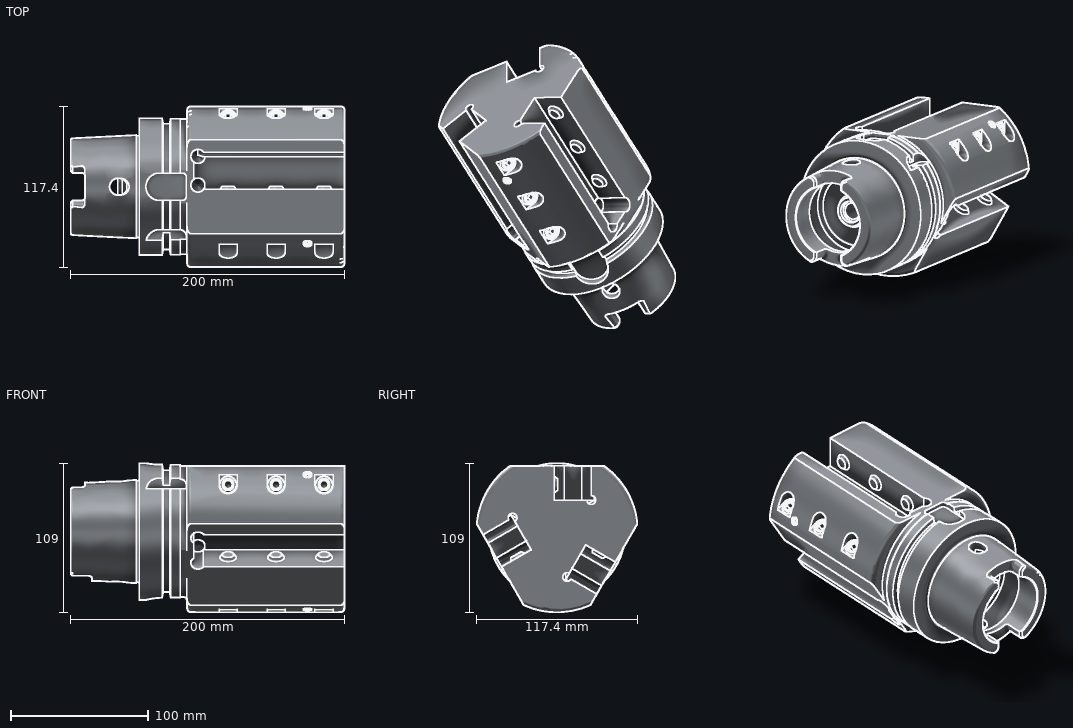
import cadquery as cq
import math


SHANK_END_X = -50.0
FLANGE_END_X = 30.0
BODY_START_X = 35.0
BODY_END_X = 150.0

TAPER_LARGE_RADIUS = 37.75
TAPER_SLOPE = 0.05
TAPER_END_X = -2.2
SHANK_END_FILLET = 1.8

RELIEF_RADIUS = 37.2
RELIEF_START_X = -1.6
RELIEF_FILLET = 0.8
FACE_RELIEF_RADIUS = 39.4
FACE_RELIEF_DEPTH = 0.3

BORE_RADIUS = 26.5
BORE_CHAMFER = 0.5
BORE_SHOULDER_X = -29.7
CLAMP_RADIUS = 31.0
CLAMP_SHOULDER_ANGLE = 60.0
CLAMP_END_X = -9.0
BORE_FLOOR_FILLET = 1.2
BORE_FLOOR_X = -7.5
NUT_RADIUS = 12.0
NUT_END_RADIUS = 10.6
NUT_CONE_LENGTH = 3.4
NUT_END_X = -15.6
NUT_RECESS_RADIUS = 8.0
NUT_RECESS_FLOOR_RADIUS = 7.65
NUT_RECESS_DEPTH = 3.0
COOLANT_RADIUS = 6.0
COOLANT_END_X = 10.0
DRILL_POINT_ANGLE = 118.0

SLOT_HALF_WIDTH = 10.0
SLOT_DEPTHS = {1: 10.5, -1: 15.5}
SLOT_FLARE_START_Z = 27.4
SLOT_FLARE_RADIUS = 5.0
SLOT_FLOOR_FILLET = 2.2
SLOT_MOUTH_CHAMFER = 1.5

ACCESS_RADIUS = 6.1
ACCESS_X = -15.3
ACCESS_TILTED_X = -13.5
ACCESS_TILT = 10.0

FLANGE_RADIUS = 50.0
GROOVE_RADIUS = 46.0
GROOVE_X = 19.95
GROOVE_FLOOR_WIDTH = 4.6
GROOVE_MOUTH_WIDTH = 6.2
FLANGE_BACK_RADIUS = 49.8
NECK_RADIUS = 49.5

RECESS_START_X = 5.0
RECESS_END_X = 34.5
RECESS_CORNER_RADIUS = 3.0
RECESS_FLOOR = 44.0
TOP_RECESS_WIDTH = 20.0
BOTTOM_RECESS_WIDTH = 25.0
NOTCH_OFFSET = 31.3
NOTCH_WIDTH = 20.0
NOTCH_CORNER_RADIUS = 5.0
ROUND_END_LAND = 0.01

BODY_RADIUS = 59.0
BODY_FILLET = 3.0
FLAT_DISTANCE = 48.0
SIDE_ANGLES = (0, 120, 240)

POCKET_START_X = 40.0
POCKET_FLOOR = 23.0
POCKET_SCREW_WALL = -2.0
POCKET_FAR_WALL = 25.0
CORNER_RELIEF_RADIUS = 3.15
CORNER_HOLE_RADIUS = 5.15
CORNER_HOLE_X = 43.0
CORNER_HOLES_Y = (1.2, 22.1)

SCREW_XS = (65.0, 100.0, 135.0)
SCREW_RADIUS = 6.0
SCREW_HEIGHT = 34.3
SCREW_TIP_RADIUS = 4.25
SCREW_TIP_LENGTH = 2.4
SCREW_HEAD_RADIUS = 4.3
SCREW_HEAD_CHAMFER = 1.7
SCREW_SOCKET = 6.93
SCREW_SOCKET_DEPTH = 6.0
SEAT_RADIUS = 6.6
SEAT_Y = -42.1

PLUG_X = 123.0
PLUG_ANGLE = 45.0
PLUG_RADIUS = 3.0
PLUG_INNER_RADIUS = 2.6
PLUG_RECESS_DEPTH = 1.0
PLUG_SOCKET = 3.46
PLUG_SOCKET_DEPTH = 2.5

CLEARANCE = 20.0


def box_between(x_range, y_range, z_range):
    sizes = [high - low for low, high in (x_range, y_range, z_range)]
    return cq.Workplane("XY").box(*sizes, centered=False).translate((x_range[0], y_range[0], z_range[0]))


def about_axis(shape, angle):
    return shape.rotate((0, 0, 0), (1, 0, 0), angle)


def revolved(points):
    """Turn an (x, radius) outline about the X axis."""
    return cq.Workplane("XY").polyline(points).close().revolve(360, (0, 0, 0), (1, 0, 0))


def drill_point_length(radius):
    return radius / math.tan(math.radians(DRILL_POINT_ANGLE / 2))


def cone(base_radius, tip_radius, length, base, direction):
    return cq.Workplane(obj=cq.Solid.makeCone(base_radius, tip_radius, length, cq.Vector(*base),
                                              cq.Vector(*direction)))


def taper_radius(x):
    return TAPER_LARGE_RADIUS + TAPER_SLOPE * (x - TAPER_END_X)


def make_shank():
    """Tapered shank with its drive slots, its outer rim and the mouths of the slots eased."""
    shank = revolved([
        (SHANK_END_X, 0),
        (SHANK_END_X, taper_radius(SHANK_END_X)),
        (TAPER_END_X, TAPER_LARGE_RADIUS),
        (RELIEF_START_X, RELIEF_RADIUS),
        (FACE_RELIEF_DEPTH, RELIEF_RADIUS),
        (FACE_RELIEF_DEPTH, 0),
    ]).faces("<X").edges().fillet(SHANK_END_FILLET)
    for side, depth in SLOT_DEPTHS.items():
        shank = shank.cut(make_drive_slot(side, depth))
    return shank


def make_flange():
    """Flange with its gripper groove, and the neck behind it."""
    half_floor = GROOVE_FLOOR_WIDTH / 2
    half_mouth = GROOVE_MOUTH_WIDTH / 2
    fillet_start_x = FACE_RELIEF_DEPTH - RELIEF_FILLET
    fillet_inset = RELIEF_FILLET * (1 - math.sqrt(0.5))
    return (
        cq.Workplane("XY")
        .moveTo(fillet_start_x, 0)
        .lineTo(fillet_start_x, RELIEF_RADIUS)
        .threePointArc(
            (FACE_RELIEF_DEPTH - fillet_inset, RELIEF_RADIUS + fillet_inset),
            (FACE_RELIEF_DEPTH, RELIEF_RADIUS + RELIEF_FILLET),
        )
        .lineTo(0, FACE_RELIEF_RADIUS)
        .lineTo(0, FLANGE_RADIUS)
        .lineTo(GROOVE_X - half_mouth, FLANGE_RADIUS)
        .lineTo(GROOVE_X - half_floor, GROOVE_RADIUS)
        .lineTo(GROOVE_X + half_floor, GROOVE_RADIUS)
        .lineTo(GROOVE_X + half_mouth, FLANGE_BACK_RADIUS)
        .lineTo(FLANGE_END_X, FLANGE_BACK_RADIUS)
        .lineTo(FLANGE_END_X, NECK_RADIUS)
        .lineTo(BODY_START_X, NECK_RADIUS)
        .lineTo(BODY_START_X, 0)
        .close()
        .revolve(360, (0, 0, 0), (1, 0, 0))
    )


def make_bore():
    """Shank bore, undercut for the clamping claws, around the coolant nut, with the blind coolant hole in the nut."""
    shoulder_length = (CLAMP_RADIUS - BORE_RADIUS) / math.tan(math.radians(CLAMP_SHOULDER_ANGLE))
    bore = revolved([
        (SHANK_END_X, 0),
        (SHANK_END_X, BORE_RADIUS + BORE_CHAMFER),
        (SHANK_END_X + BORE_CHAMFER, BORE_RADIUS),
        (BORE_SHOULDER_X, BORE_RADIUS),
        (BORE_SHOULDER_X + shoulder_length, CLAMP_RADIUS),
        (CLAMP_END_X, CLAMP_RADIUS),
        (CLAMP_END_X, BORE_RADIUS),
        (BORE_FLOOR_X, BORE_RADIUS),
        (BORE_FLOOR_X, 0),
    ]).faces(">X").edges().fillet(BORE_FLOOR_FILLET)
    nut_recess_floor_x = NUT_END_X + NUT_RECESS_DEPTH
    nut = revolved([
        (BORE_FLOOR_X, 0),
        (BORE_FLOOR_X, NUT_RADIUS),
        (NUT_END_X + NUT_CONE_LENGTH, NUT_RADIUS),
        (NUT_END_X, NUT_END_RADIUS),
        (NUT_END_X, 0),
    ])
    coolant_hole = revolved([
        (NUT_END_X, 0),
        (NUT_END_X, NUT_RECESS_RADIUS),
        (nut_recess_floor_x, NUT_RECESS_FLOOR_RADIUS),
        (nut_recess_floor_x, COOLANT_RADIUS),
        (COOLANT_END_X, COOLANT_RADIUS),
        (COOLANT_END_X + drill_point_length(COOLANT_RADIUS), 0),
    ])
    return bore.cut(nut).union(coolant_hole)


def slot_section(widening):
    """Slot outline flaring outward along two convex arcs, widened evenly by the given amount."""
    half_width = SLOT_HALF_WIDTH + widening
    arc_radius = SLOT_FLARE_RADIUS - widening
    flare_y = SLOT_HALF_WIDTH + SLOT_FLARE_RADIUS
    flare_z = SLOT_FLARE_START_Z + arc_radius
    top_z = flare_z + CLEARANCE
    arc_y = flare_y - arc_radius * math.sqrt(0.5)
    arc_z = SLOT_FLARE_START_Z + arc_radius * math.sqrt(0.5)
    outer_y = flare_y + CLEARANCE
    return (
        cq.Workplane("YZ", origin=(SHANK_END_X, 0, 0))
        .moveTo(-half_width, 0)
        .lineTo(-half_width, SLOT_FLARE_START_Z)
        .threePointArc((-arc_y, arc_z), (-flare_y, flare_z))
        .lineTo(-outer_y, flare_z)
        .lineTo(-outer_y, top_z)
        .lineTo(outer_y, top_z)
        .lineTo(outer_y, flare_z)
        .lineTo(flare_y, flare_z)
        .threePointArc((arc_y, arc_z), (half_width, SLOT_FLARE_START_Z))
        .lineTo(half_width, 0)
        .close()
    )


def make_drive_slot(side, depth):
    """Slot open to the shank end, with filleted floor corners and a chamfered mouth."""
    slot = slot_section(0).extrude(depth)
    flare_y = SLOT_HALF_WIDTH + SLOT_FLARE_RADIUS
    flare_z = SLOT_FLARE_START_Z + SLOT_FLARE_RADIUS
    wall_edges = cq.selectors.BoxSelector(
        (SHANK_END_X + depth - 1, -flare_y - 1, 1), (SHANK_END_X + depth + 1, flare_y + 1, flare_z + 1)
    )
    slot = slot.edges(wall_edges).fillet(SLOT_FLOOR_FILLET)
    mouth = slot_section(SLOT_MOUTH_CHAMFER).extrude(SLOT_MOUTH_CHAMFER, taper=45)
    slot = slot.union(mouth)
    return about_axis(slot, 0 if side > 0 else 180)


def make_access_hole(side):
    """Radial hole through one shank wall, widened by a second hole that leans towards the flange."""
    lean = math.radians(ACCESS_TILT)
    hole = None
    for x, angle in ((ACCESS_X, 0), (ACCESS_TILTED_X, lean)):
        axis = cq.Vector(math.sin(angle), 0, side * math.cos(angle))
        start = cq.Vector(x, 0, side * taper_radius(x)) - axis * CLEARANCE
        bore = cq.Workplane(obj=cq.Solid.makeCylinder(ACCESS_RADIUS, 2 * CLEARANCE, start, axis))
        hole = bore if hole is None else hole.union(bore)
    return hole


def make_recess(width, floor_z, front_radius, corner_radius, center_y=0.0):
    """Flat-floored recess with a round front end and softly rounded rear corners."""
    recess = box_between(
        (RECESS_START_X, RECESS_END_X),
        (center_y - width / 2, center_y + width / 2),
        (floor_z, FLANGE_RADIUS + CLEARANCE),
    )
    recess = recess.edges("|Z and >X").fillet(corner_radius)
    return recess.edges("|Z and <X").fillet(front_radius)


def make_gripper_recess(width):
    return make_recess(width, RECESS_FLOOR, width / 2 - ROUND_END_LAND, RECESS_CORNER_RADIUS)


def make_notch():
    """Corner notch with equal distances of its floor and its side wall from the axis."""
    front_radius = NOTCH_WIDTH / 2 - ROUND_END_LAND
    center_y = -NOTCH_OFFSET - NOTCH_WIDTH / 2
    return make_recess(NOTCH_WIDTH, NOTCH_OFFSET, front_radius, NOTCH_CORNER_RADIUS, center_y)


def make_body():
    body = cq.Workplane("YZ", origin=(BODY_START_X, 0, 0)).circle(BODY_RADIUS)
    return body.extrude(BODY_END_X - BODY_START_X).edges().fillet(BODY_FILLET)


def make_flat_cut():
    reach = BODY_RADIUS + CLEARANCE
    return box_between((FLANGE_END_X, BODY_END_X + 1), (-reach, reach), (FLAT_DISTANCE, reach))


def make_pocket():
    """Blade pocket below the top flat, open to +X, with relieved corners."""
    top = FLAT_DISTANCE + CLEARANCE
    pocket = box_between(
        (POCKET_START_X, BODY_END_X + 1),
        (POCKET_SCREW_WALL, POCKET_FAR_WALL),
        (POCKET_FLOOR, top),
    )
    relief = (
        cq.Workplane("YZ", origin=(CORNER_HOLE_X, POCKET_FAR_WALL, POCKET_FLOOR))
        .circle(CORNER_RELIEF_RADIUS)
        .extrude(BODY_END_X - CORNER_HOLE_X + 1)
    )
    pocket = pocket.union(relief)
    for y in CORNER_HOLES_Y:
        hole = cq.Workplane("XY", origin=(CORNER_HOLE_X, y, POCKET_FLOOR)).circle(CORNER_HOLE_RADIUS)
        pocket = pocket.union(hole.extrude(top - POCKET_FLOOR))
        point_length = drill_point_length(CORNER_HOLE_RADIUS)
        pocket = pocket.union(
            cone(CORNER_HOLE_RADIUS, 0, point_length, (CORNER_HOLE_X, y, POCKET_FLOOR), (0, 0, -1))
        )
    return pocket


def make_screw_tip(x):
    """Screw end standing out of the pocket wall."""
    return cone(SCREW_RADIUS, SCREW_TIP_RADIUS, SCREW_TIP_LENGTH,
                (x, POCKET_SCREW_WALL, SCREW_HEIGHT), (0, 1, 0))


def make_screw_seat(x):
    """Spot face running out of the body, with the chamfered screw head and its hexagon socket."""
    seat_plane = cq.Workplane("XZ", origin=(x, SEAT_Y, SCREW_HEIGHT))
    seat = seat_plane.circle(SEAT_RADIUS).extrude(CLEARANCE)
    seat = seat.union(
        box_between(
            (x - SEAT_RADIUS, x + SEAT_RADIUS),
            (SEAT_Y - CLEARANCE, SEAT_Y),
            (SCREW_HEIGHT, SCREW_HEIGHT + CLEARANCE),
        )
    )
    groove = cq.Workplane("XZ", origin=(x, SEAT_Y, SCREW_HEIGHT)).circle(SCREW_RADIUS)
    groove = groove.extrude(-SCREW_HEAD_CHAMFER)
    groove = groove.cut(
        cone(SCREW_HEAD_RADIUS, SCREW_RADIUS, SCREW_HEAD_CHAMFER, (x, SEAT_Y, SCREW_HEIGHT), (0, 1, 0))
    )
    socket = seat_plane.polygon(6, SCREW_SOCKET).extrude(-SCREW_SOCKET_DEPTH)
    point_radius = SCREW_SOCKET / 2 * math.cos(math.radians(30))
    point = cone(point_radius, 0, drill_point_length(point_radius),
                 (x, SEAT_Y + SCREW_SOCKET_DEPTH, SCREW_HEIGHT), (0, 1, 0))
    return seat.union(groove).union(socket).union(point)


def make_plug_socket():
    """Recessed hexagon plug set square to the round body surface."""
    rim = BODY_RADIUS
    plane = cq.Workplane("XY", origin=(PLUG_X, 0, rim))
    floor = rim - PLUG_RECESS_DEPTH
    recess = plane.circle(PLUG_RADIUS).extrude(-PLUG_RECESS_DEPTH).union(
        cone(PLUG_RADIUS, PLUG_INNER_RADIUS, PLUG_RADIUS - PLUG_INNER_RADIUS, (PLUG_X, 0, floor), (0, 0, -1))
    )
    socket = plane.polygon(6, PLUG_SOCKET).extrude(-PLUG_RECESS_DEPTH - PLUG_SOCKET_DEPTH)
    return about_axis(recess.union(socket), PLUG_ANGLE)


part = make_shank().union(make_flange()).cut(make_bore())
for slot_side in SLOT_DEPTHS:
    part = part.cut(make_access_hole(slot_side))

part = part.cut(make_gripper_recess(TOP_RECESS_WIDTH))
part = part.cut(about_axis(make_gripper_recess(BOTTOM_RECESS_WIDTH), 180))
part = part.cut(make_notch())

part = part.union(make_body())
for angle in SIDE_ANGLES:
    part = part.cut(about_axis(make_flat_cut(), angle))
for angle in SIDE_ANGLES:
    part = part.cut(about_axis(make_pocket(), angle))
    part = part.cut(about_axis(make_plug_socket(), angle))
    for screw_x in SCREW_XS:
        part = part.union(about_axis(make_screw_tip(screw_x), angle))
        part = part.cut(about_axis(make_screw_seat(screw_x), angle))

result = part